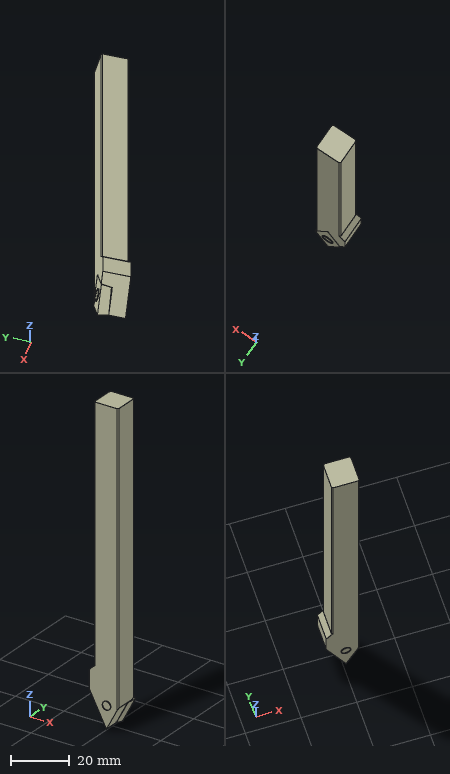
import cadquery as cq
import math

shank_width = 10.0
half_width = shank_width / 2
shank_x = -0.1
shank_left = shank_x - half_width
shank_right = shank_x + half_width
total_length = 125.0
shank_chamfer = 0.5
nose_width = 2.0
nose_bottom = 14.6
nose_shoulder = 22.0
shoulder_top = nose_shoulder + nose_width
nose_x = shank_left - nose_width

insert_half_width = 5.2
insert_thickness = 4.0
half_tip_angle = math.radians(27.5)
clearance_angle = math.radians(7)
insert_half_height = insert_half_width / math.tan(half_tip_angle)

insert_back_y = half_width - insert_thickness
back_inset = insert_thickness * math.tan(clearance_angle)
back_half_width = insert_half_width - back_inset / math.cos(half_tip_angle)
back_half_height = back_half_width / math.tan(half_tip_angle)
holder_tip_z = insert_half_height - back_half_height

screw_head_diameter = 4.4
screw_head_height = 0.2
screw_diameter = 3.4
screw_recess = 0.2


def xz_plane(y):
    """Drawing plane at the given y, with local axes along X and Z and extrusion toward -Y."""
    return cq.Workplane("XZ", origin=(0, y, 0))


def rhombus_points(half_x, half_z):
    centre = insert_half_height
    return [(0, centre - half_z), (half_x, centre), (0, centre + half_z), (-half_x, centre)]


def make_insert_blank():
    front = cq.Wire.makePolygon(
        [cq.Vector(x, half_width, z) for x, z in rhombus_points(insert_half_width, insert_half_height)],
        close=True,
    )
    back = cq.Wire.makePolygon(
        [cq.Vector(x, insert_back_y, z) for x, z in rhombus_points(back_half_width, back_half_height)],
        close=True,
    )
    return cq.Workplane(cq.Solid.makeLoft([front, back], True))


def make_insert():
    """Insert and its clamping screw as one solid."""
    head = (
        xz_plane(half_width + screw_head_height)
        .center(0, insert_half_height)
        .circle(screw_head_diameter / 2)
        .extrude(screw_head_height + insert_thickness / 2)
    )
    shaft = (
        xz_plane(half_width)
        .center(0, insert_half_height)
        .circle(screw_diameter / 2)
        .extrude(shank_width - screw_recess)
    )
    return make_insert_blank().union(head).union(shaft)


def make_holder():
    shank = (
        cq.Workplane("XY", origin=(shank_x, 0, nose_bottom))
        .rect(shank_width, shank_width)
        .extrude(total_length - nose_bottom)
        .edges("|Z")
        .chamfer(shank_chamfer)
    )
    head_slope = (nose_bottom - holder_tip_z) / -nose_x
    right_corner_z = holder_tip_z + shank_right * head_slope
    inner_x = shank_right - shank_chamfer
    head_outline = [
        (0, holder_tip_z),
        (shank_right, right_corner_z),
        (shank_right, nose_bottom),
        (inner_x, nose_bottom),
        (inner_x, shoulder_top),
        (shank_left + shank_chamfer, shoulder_top + shank_chamfer),
        (nose_x, nose_shoulder),
        (nose_x, nose_bottom),
    ]
    head = xz_plane(half_width).polyline(head_outline).close().extrude(shank_width)
    head = head.edges("|Z and >X").chamfer(shank_chamfer)
    screw_hole = (
        xz_plane(half_width)
        .center(0, insert_half_height)
        .circle(screw_diameter / 2)
        .extrude(shank_width)
    )
    return shank.union(head).cut(make_insert_blank()).cut(screw_hole)


holder = make_holder()
insert = make_insert()

result = cq.Compound.makeCompound([holder.val(), insert.val()])